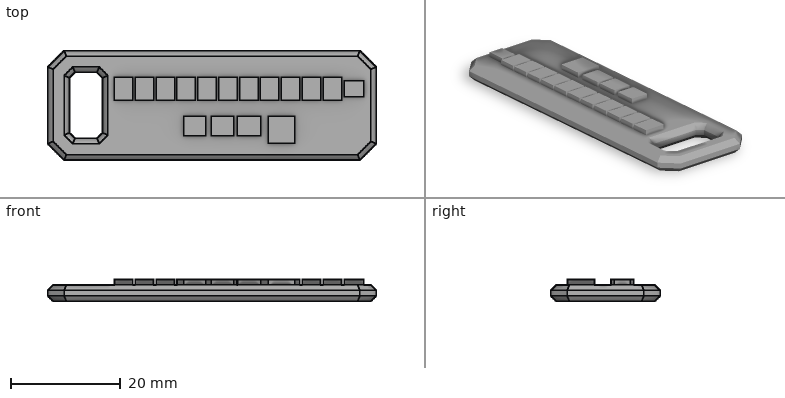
import cadquery as cq

length = 60.0
width = length / 3
thickness = 3.0
corner_cut = 3.0
bevel = thickness / 3

slot_length = 6.0
slot_width = 12.0
slot_corner_cut = bevel
slot_margin = 3.0
slot_x = -length / 2 + slot_margin + bevel + slot_length / 2

block_height = thickness / 3
digit_count = 11
digit_pitch = 3.81
digit_length = 3.35
digit_width = 4.2
digit_y = 3.05
first_digit_x = -16.15

plus_x = 25.9
plus_length = 3.6
plus_width = 2.95

small_letter_spans = [(-3.2, 4.0), (1.9, 4.15), (6.8, 4.3)]
small_letter_width = 3.6
name_top_y = -2.0
capital_x = 12.65
capital_length = 4.8
capital_width = 5.0


def cut_corner_prism(size_x, size_y, cut):
    """Upright prism, as thick as the plate, with its four corners cut."""
    return cq.Workplane("XY").box(size_x, size_y, thickness).edges("|Z").chamfer(cut)


def block(center_x, center_y, size_x, size_y):
    """Plain block standing on the top face of the plate."""
    return (
        cq.Workplane("XY", origin=(center_x, center_y, thickness / 2))
        .rect(size_x, size_y)
        .extrude(block_height)
    )


slot = cut_corner_prism(slot_length, slot_width, slot_corner_cut).translate((slot_x, 0, 0))
plate = cut_corner_prism(length, width, corner_cut).cut(slot)
result = plate.faces("<Z or >Z").edges().chamfer(bevel)

for index in range(digit_count):
    digit_x = first_digit_x + index * digit_pitch
    result = result.union(block(digit_x, digit_y, digit_length, digit_width))
result = result.union(block(plus_x, digit_y, plus_length, plus_width))

for letter_x, letter_length in small_letter_spans:
    letter_y = name_top_y - small_letter_width / 2
    result = result.union(block(letter_x, letter_y, letter_length, small_letter_width))
capital_y = name_top_y - capital_width / 2
result = result.union(block(capital_x, capital_y, capital_length, capital_width))